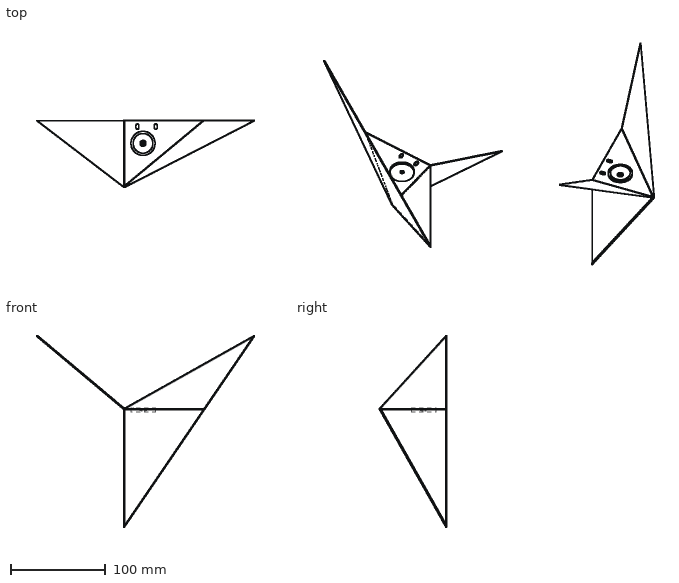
import cadquery as cq
import math


PLATE_THICKNESS = 1.0
HALF_THICKNESS = PLATE_THICKNESS / 2
EDGE_OVERRUN = 3 * PLATE_THICKNESS
FOLD_OVERLAP = 2 * PLATE_THICKNESS
FOLD_LENGTH = 70.07
WING_LENGTH = 119.6
FIN_HEIGHT = 124.04
SAIL_REACH = 136.67
SAIL_RISE = 76.6
CUTTER_SIZE = 600.0

SHELF_ANGLE = 0.0
WING_ANGLE = 140.0
FIN_ANGLE = 270.0
FULL_TURN = 360.0

SLOT_X = (13.85, 33.25)
SLOT_Y = -6.3
SLOT_WIDTH = 3.0
SLOT_LENGTH = 5.6
SLOT_DIRECTION = 90.0

DISH_X = 19.75
DISH_Y = -24.0
DISH_RADIUS = 12.75
RIM_HEIGHT = 1.0
CONE_TOP_RADIUS = 10.4
CONE_BOTTOM_RADIUS = 3.1
CONE_DEPTH = 2.7
WELL_RADIUS = 2.1
WELL_DEPTH = 0.4
STUD_BASE_RADIUS = 1.4
STUD_TIP_RADIUS = 0.7
STUD_HEIGHT = 1.0
DISH_FLOOR = 1.0

shelf_top = HALF_THICKNESS
apex = cq.Vector(0, -FOLD_LENGTH, 0)
sail_tip = cq.Vector(SAIL_REACH, 0, SAIL_RISE)
fin_tip = cq.Vector(0, 0, -FIN_HEIGHT)
shelf_length = SAIL_REACH * FIN_HEIGHT / (FIN_HEIGHT + SAIL_RISE)

sail_normal = (sail_tip - apex).cross(fin_tip - apex).normalized()
sail_plane = cq.Plane(apex, sail_tip - apex, sail_normal)


def rounded_edge(start, end):
    """Rod that rounds the free edge of a plate, run past the end so that it can be trimmed there."""
    run = end - start
    rod_length = run.Length + EDGE_OVERRUN
    return cq.Workplane(cq.Solid.makeCylinder(HALF_THICKNESS, rod_length, start, run))


def make_sail():
    """Triangle rounded at the apex and along the edges that leave it, and cut square along the back."""
    face = cq.Workplane(sail_plane)
    outline = [sail_plane.toLocalCoords(corner).toTuple()[:2] for corner in (apex, sail_tip, fin_tip)]
    sail = face.polyline(outline).close().extrude(HALF_THICKNESS, both=True)
    sail = sail.union(cq.Workplane(cq.Plane(apex)).sphere(HALF_THICKNESS))
    for tip in (sail_tip, fin_tip):
        sail = sail.union(rounded_edge(apex, tip))
    back_edge = sail_tip - fin_tip
    back_plane = cq.Plane(fin_tip, back_edge, sail_normal.cross(back_edge))
    behind = cq.Workplane(back_plane).rect(CUTTER_SIZE, CUTTER_SIZE).extrude(CUTTER_SIZE)
    return sail.cut(behind)


def mitre_wedge(start_angle, end_angle):
    """Wedge around the fold between two directions, whose faces are the mitre planes."""
    corners = [(0, 0)]
    for angle in (start_angle, (start_angle + end_angle) / 2, end_angle):
        direction = math.radians(angle)
        corners.append((CUTTER_SIZE * math.cos(direction), CUTTER_SIZE * math.sin(direction)))
    return cq.Workplane("XZ").polyline(corners).close().extrude(CUTTER_SIZE, both=True)


def folded_plate(angle, length, previous_angle, next_angle, rounded=False):
    """Right triangle beside the fold, mitred halfway to both neighbours and trimmed by the sail."""
    direction = cq.Vector(math.cos(math.radians(angle)), 0, math.sin(math.radians(angle)))
    plane = cq.Plane((0, 0, 0), direction, direction.cross(cq.Vector(0, 1, 0)))
    overlap_depth = FOLD_LENGTH * (1 + FOLD_OVERLAP / length)
    outline = [(length, 0), (-FOLD_OVERLAP, 0), (-FOLD_OVERLAP, -overlap_depth)]
    plate = cq.Workplane(plane).polyline(outline).close().extrude(HALF_THICKNESS, both=True)
    if rounded:
        front = cq.Workplane("XZ").rect(CUTTER_SIZE, CUTTER_SIZE).extrude(CUTTER_SIZE)
        plate = plate.union(rounded_edge(apex, direction * length).intersect(front))
    wedge = mitre_wedge((previous_angle + angle) / 2, (angle + next_angle) / 2)
    behind_sail = cq.Workplane(sail_plane).rect(CUTTER_SIZE, CUTTER_SIZE).extrude(CUTTER_SIZE)
    return plate.intersect(wedge).intersect(behind_sail).cut(sail)


def make_dish():
    """Turned disc with a conical hollow and a small tapered stud in the well at its centre."""
    rim = shelf_top + RIM_HEIGHT
    cone_bottom = rim - CONE_DEPTH
    well_bottom = cone_bottom - WELL_DEPTH
    underside = well_bottom - DISH_FLOOR
    profile = [
        (0, underside),
        (DISH_RADIUS, underside),
        (DISH_RADIUS, rim),
        (CONE_TOP_RADIUS, rim),
        (CONE_BOTTOM_RADIUS, cone_bottom),
        (WELL_RADIUS, cone_bottom),
        (WELL_RADIUS, well_bottom),
        (STUD_BASE_RADIUS, well_bottom),
        (STUD_TIP_RADIUS, well_bottom + STUD_HEIGHT),
        (0, well_bottom + STUD_HEIGHT),
    ]
    turned = cq.Workplane("XZ").polyline(profile).close().revolve(FULL_TURN, (0, 0), (0, 1))
    return turned.translate((DISH_X, DISH_Y, 0))


def cut_shelf_openings(plate):
    """Round seat for the dish and two slots, all through the shelf."""
    seat = cq.Workplane("XY").center(DISH_X, DISH_Y).circle(DISH_RADIUS)
    slot_centers = [(x, SLOT_Y) for x in SLOT_X]
    slots = cq.Workplane("XY").pushPoints(slot_centers).slot2D(SLOT_LENGTH, SLOT_WIDTH, SLOT_DIRECTION)
    for opening in (seat, slots):
        plate = plate.cut(opening.extrude(PLATE_THICKNESS, both=True))
    return plate


sail = make_sail()
shelf = folded_plate(SHELF_ANGLE, shelf_length, FIN_ANGLE - FULL_TURN, WING_ANGLE)
shelf = cut_shelf_openings(shelf)
wing = folded_plate(WING_ANGLE, WING_LENGTH, SHELF_ANGLE, FIN_ANGLE, rounded=True)
fin = folded_plate(FIN_ANGLE, FIN_HEIGHT, WING_ANGLE, SHELF_ANGLE + FULL_TURN)
dish = make_dish()

result = cq.Compound.makeCompound(
    [*shelf.solids().vals(), *wing.solids().vals(), *fin.solids().vals(), *sail.solids().vals(), dish.val()]
)